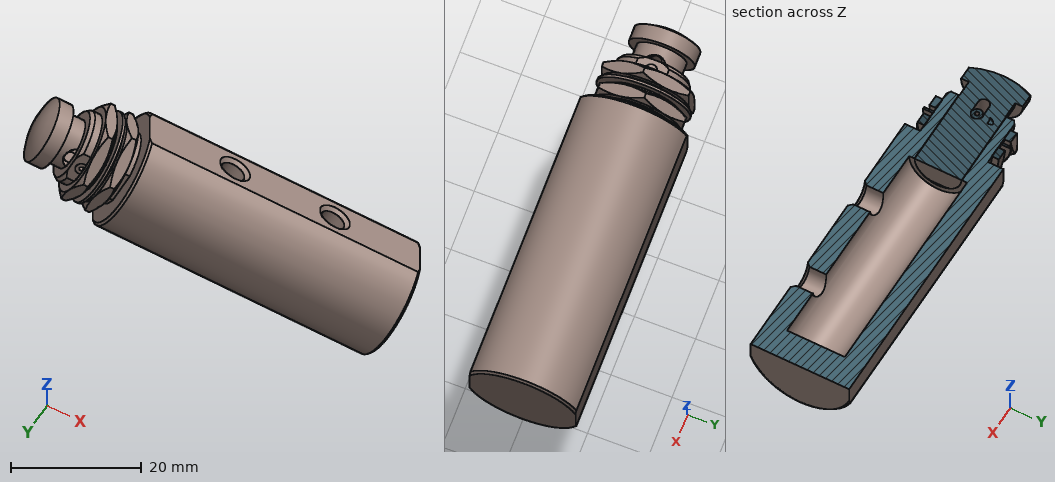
import cadquery as cq
import math


head_radius = 5.4
dome_height = 1.2
head_end = 3.65
stem_radius = 4.1
stem_flat_height = 3.7
stem_flat_end_radius = 1.9

overall_length = 63.1
neck_start = 6.5
neck_radius = 6.0
neck_flat_height = 5.4
neck_chamfer_length = 0.6
neck_chamfer_depth = 0.45
body_start = 15.25
body_radius = 9.5
body_width = 17.35
body_chamfer = 0.4
end_wall = 5.05
chamber_radius = 5.05
chamber_start = body_start + end_wall
chamber_end = overall_length - end_wall

port_radius = 2.0
port_mouth_radius = 2.65
port_spacing = 17.65
body_middle = (body_start + overall_length) / 2

pin_radius = 0.95
pin_bore_radius = 0.3
pin_x = 8.2
slot_tip = 5.25

nut_across_flats = 14.25
nut_thickness = 2.0
nut_chamfer_angle = 30
nut_countersink = neck_radius - neck_flat_height
nut_starts = [8.4, 12.1]
nut_turns = [5, -6.5]
washer_start = 11.05
washer_thickness = 0.45
washer_radius = 7.7


def cylinder(start, end, radius):
    return cq.Workplane("YZ", origin=(start, 0, 0)).circle(radius).extrude(end - start)


def revolve_about_x(profile):
    return profile.close().revolve(360, (0, 0, 0), (1, 0, 0))


def bar_along_x(start, end, width, height):
    return cq.Workplane("YZ", origin=(start, 0, 0)).rect(width, height).extrude(end - start)


def make_neck(start, end):
    """Round bar with a flat on its top and on its bottom."""
    flats = bar_along_x(start, end, 2 * neck_radius, 2 * neck_flat_height)
    return cylinder(start, end, neck_radius).intersect(flats)


def make_stem_slot():
    """Round-ended slot through the stem, with the pin against its rear end."""
    front_centre = slot_tip + pin_radius
    length = pin_x - front_centre + 2 * pin_radius
    return (
        cq.Workplane("XY")
        .center((front_centre + pin_x) / 2, 0)
        .slot2D(length, 2 * pin_radius)
        .extrude(stem_radius, both=True)
    )


def make_stem_flats():
    """Cuts that leave a round-ended flat above and below, running to the rear of the stem."""
    end_centre = slot_tip + stem_flat_end_radius
    upper = (
        cq.Workplane("XY", origin=(0, 0, stem_flat_height))
        .moveTo(chamber_start, stem_flat_end_radius)
        .lineTo(end_centre, stem_flat_end_radius)
        .threePointArc((slot_tip, 0), (end_centre, -stem_flat_end_radius))
        .lineTo(chamber_start, -stem_flat_end_radius)
        .close()
        .extrude(stem_radius - stem_flat_height)
    )
    return upper.union(upper.mirror("XY"))


def make_button():
    dome_radius = (head_radius**2 + dome_height**2) / (2 * dome_height)
    half_angle = math.asin(head_radius / dome_radius) / 2
    dome_middle = (dome_radius * (1 - math.cos(half_angle)), dome_radius * math.sin(half_angle))
    profile = (
        cq.Workplane("XY")
        .threePointArc(dome_middle, (dome_height, head_radius))
        .lineTo(head_end, head_radius)
        .lineTo(head_end, stem_radius)
        .lineTo(chamber_start, stem_radius)
        .lineTo(chamber_start, 0)
    )
    return revolve_about_x(profile).cut(make_stem_flats()).cut(make_stem_slot())


def make_port(x):
    """Countersunk hole from the front side flat into the chamber."""
    mouth_depth = port_mouth_radius - port_radius
    return (
        cq.Workplane("XY")
        .moveTo(0, 0)
        .lineTo(0, port_mouth_radius)
        .lineTo(mouth_depth, port_radius)
        .lineTo(body_width / 2, port_radius)
        .lineTo(body_width / 2, 0)
        .close()
        .revolve(360, (0, 0, 0), (1, 0, 0))
        .rotate((0, 0, 0), (0, 0, 1), 90)
        .translate((x, -body_width / 2, 0))
    )


def make_housing():
    body = cylinder(body_start, overall_length, body_radius).edges().chamfer(body_chamfer)
    body = body.intersect(bar_along_x(body_start, overall_length, body_width, 2 * body_radius))

    neck_tip = revolve_about_x(
        cq.Workplane("XY")
        .moveTo(neck_start, 0)
        .lineTo(neck_start, neck_radius - neck_chamfer_depth)
        .lineTo(neck_start + neck_chamfer_length, neck_radius)
        .lineTo(body_start, neck_radius)
        .lineTo(body_start, 0)
    )
    neck = make_neck(neck_start, body_start).intersect(neck_tip)

    housing = body.union(neck)
    housing = housing.cut(cylinder(neck_start, chamber_start, stem_radius))
    housing = housing.cut(cylinder(chamber_start, chamber_end, chamber_radius))
    pin_hole = cq.Workplane("XY").center(pin_x, 0).circle(pin_radius).extrude(neck_radius, both=True)
    housing = housing.cut(pin_hole)
    for side in (-1, 1):
        housing = housing.cut(make_port(body_middle + side * port_spacing / 2))
    return housing


def make_pin():
    """Hollow pin across the neck, flush with the neck flats."""
    return (
        cq.Workplane("XY")
        .center(pin_x, 0)
        .circle(pin_radius)
        .circle(pin_bore_radius)
        .extrude(neck_flat_height, both=True)
    )


def make_nut(start, turn):
    """Hex nut with both outer rims chamfered, its hole matching the neck."""
    end = start + nut_thickness
    corner_radius = nut_across_flats / math.sqrt(3)
    rim_radius = nut_across_flats / 2
    chamfer_length = (corner_radius - rim_radius) * math.tan(math.radians(nut_chamfer_angle))
    hexagon = (
        cq.Workplane("YZ", origin=(start, 0, 0))
        .polygon(6, 2 * corner_radius)
        .extrude(nut_thickness)
        .rotate((0, 0, 0), (1, 0, 0), 90 + turn)
    )
    turned_blank = revolve_about_x(
        cq.Workplane("XY")
        .moveTo(start, 0)
        .lineTo(start, rim_radius)
        .lineTo(start + chamfer_length, corner_radius)
        .lineTo(end - chamfer_length, corner_radius)
        .lineTo(end, rim_radius)
        .lineTo(end, 0)
    )
    countersinks = revolve_about_x(
        cq.Workplane("XY")
        .moveTo(start, 0)
        .lineTo(start, neck_radius)
        .lineTo(start + nut_countersink, neck_flat_height)
        .lineTo(end - nut_countersink, neck_flat_height)
        .lineTo(end, neck_radius)
        .lineTo(end, 0)
    )
    return hexagon.intersect(turned_blank).cut(countersinks).cut(make_neck(start, end))


def make_washer():
    end = washer_start + washer_thickness
    return cylinder(washer_start, end, washer_radius).cut(cylinder(washer_start, end, neck_radius))


housing = make_housing()
button = make_button()
pin = make_pin()
washer = make_washer()
nuts = [make_nut(start, turn) for start, turn in zip(nut_starts, nut_turns)]

bodies = [housing, button, pin, washer, *nuts]

result = cq.Compound.makeCompound([body.solids().val() for body in bodies])